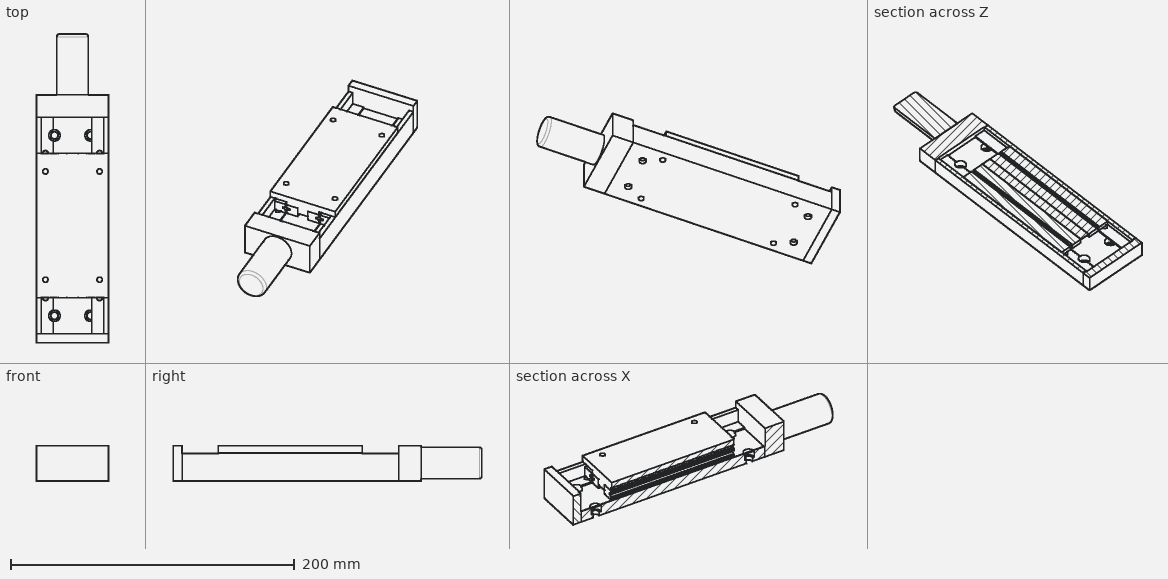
import cadquery as cq

WIDTH = 50.8
HEIGHT = 24.89
TOTAL_LENGTH = 217.47

BASE_LENGTH = 152.4
BASE_HEIGHT = 19.55
WALL = 3.4
LEDGE_Z = 9.4
LEDGE_RISE = 1.0
FLOOR_Z = LEDGE_Z - LEDGE_RISE

FRONT_PLATE_LENGTH = 6.35
MOTOR_PLATE_LENGTH = 15.875
MOTOR_DIAMETER = 22.225
MOTOR_AXIS_Z = 12.7
MOTOR_FILLET = 1.9
MOTOR_LENGTH = TOTAL_LENGTH - BASE_LENGTH - FRONT_PLATE_LENGTH - MOTOR_PLATE_LENGTH

RAIL_WIDTH = 8.6
RAIL_HEIGHT = 7.8
RAIL_GAP = 0.8
GROOVE_DEPTH = 1.6
RELIEF_DEPTH = 2.4
RELIEF_HEIGHT = 0.8
RAIL_CHAMFER = 0.5
RAIL_TOP = LEDGE_Z + RAIL_HEIGHT
OUTER_RAIL_WALL_SIDE = WIDTH / 2 - WALL
OUTER_RAIL_GROOVE_SIDE = OUTER_RAIL_WALL_SIDE - RAIL_WIDTH
INNER_RAIL_GROOVE_SIDE = OUTER_RAIL_GROOVE_SIDE - RAIL_GAP
INNER_RAIL_STEM_SIDE = INNER_RAIL_GROOVE_SIDE - RAIL_WIDTH

CARRIAGE_LENGTH = 101.6
PLATE_BOTTOM = 19.8
STEM_BOTTOM = 12.4

PLATE_HOLE_DIAMETER = 3.7
PLATE_HOLE_SPACING_X = 38.1
PLATE_HOLE_SPACING_Y = 76.2
LEDGE_HOLE_DIAMETER = 3.9
LEDGE_HOLE_SPACING_Y = CARRIAGE_LENGTH
MOUNT_SPACING_X = 25.4
MOUNT_SPACING_Y = 127.0
MOUNT_DIAMETER = 5.0
COUNTERBORE_DIAMETER = 8.0
COUNTERBORE_DEPTH = 5.0


def box(x_range, y_range, z_range):
    """Axis-aligned block spanning the given (low, high) ranges."""
    lows, highs = zip(x_range, y_range, z_range)
    sizes = [high - low for low, high in zip(lows, highs)]
    return cq.Workplane("XY").box(*sizes, centered=False).translate(lows)


def hole_pattern(spacing_x, spacing_y, diameter, z_low, z_high):
    """Four vertical cylinders centred on the Z axis."""
    pattern = cq.Workplane("XY").workplane(offset=z_low).rarray(spacing_x, spacing_y, 2, 2)
    return pattern.circle(diameter / 2).extrude(z_high - z_low)


def make_base():
    y_range = (-BASE_LENGTH / 2, BASE_LENGTH / 2)
    half_width = WIDTH / 2
    inner_half_width = half_width - WALL
    ledge_z = (FLOOR_Z, LEDGE_Z)

    floor = box((-half_width, half_width), y_range, (0, FLOOR_Z))
    left_ledge = box((-inner_half_width, -OUTER_RAIL_GROOVE_SIDE), y_range, ledge_z)
    right_ledge = box((OUTER_RAIL_GROOVE_SIDE, inner_half_width), y_range, ledge_z)

    counterbore_floor = FLOOR_Z - COUNTERBORE_DEPTH
    mounting_holes = hole_pattern(MOUNT_SPACING_X, MOUNT_SPACING_Y, MOUNT_DIAMETER, 0, LEDGE_Z)
    counterbores = hole_pattern(
        MOUNT_SPACING_X, MOUNT_SPACING_Y, COUNTERBORE_DIAMETER, counterbore_floor, LEDGE_Z
    )
    base = floor.union(left_ledge).cut(mounting_holes).cut(counterbores).union(right_ledge)

    for wall_x in ((-half_width, -inner_half_width), (inner_half_width, half_width)):
        base = base.union(box(wall_x, y_range, (0, BASE_HEIGHT)))

    ledge_holes = hole_pattern(
        PLATE_HOLE_SPACING_X, LEDGE_HOLE_SPACING_Y, LEDGE_HOLE_DIAMETER, 0, LEDGE_Z
    )
    return base.cut(ledge_holes)


def make_front_plate():
    back = -BASE_LENGTH / 2
    return box((-WIDTH / 2, WIDTH / 2), (back - FRONT_PLATE_LENGTH, back), (0, HEIGHT))


def make_motor_plate():
    front = BASE_LENGTH / 2
    return box((-WIDTH / 2, WIDTH / 2), (front, front + MOTOR_PLATE_LENGTH), (0, HEIGHT))


def make_motor():
    mounting_face = BASE_LENGTH / 2 + MOTOR_PLATE_LENGTH
    plane = cq.Plane(origin=(0, mounting_face, MOTOR_AXIS_Z), xDir=(1, 0, 0), normal=(0, 1, 0))
    motor = cq.Workplane(plane).circle(MOTOR_DIAMETER / 2).extrude(MOTOR_LENGTH)
    return motor.faces(">Y").edges().fillet(MOTOR_FILLET)


def make_carriage():
    y_range = (-CARRIAGE_LENGTH / 2, CARRIAGE_LENGTH / 2)
    steps = (
        (WIDTH / 2, PLATE_BOTTOM, HEIGHT),
        (INNER_RAIL_GROOVE_SIDE, RAIL_TOP, PLATE_BOTTOM),
        (INNER_RAIL_STEM_SIDE, STEM_BOTTOM, RAIL_TOP),
    )
    carriage = cq.Workplane("XY")
    for half_width, z_low, z_high in steps:
        carriage = carriage.union(box((-half_width, half_width), y_range, (z_low, z_high)))
    plate_holes = hole_pattern(
        PLATE_HOLE_SPACING_X, PLATE_HOLE_SPACING_Y, PLATE_HOLE_DIAMETER, PLATE_BOTTOM, HEIGHT
    )
    return carriage.cut(plate_holes)


def make_rail(back_x, groove_x):
    """Rail with its plain side at back_x and a relieved 90 degree V groove in the side at groove_x."""
    inward = 1 if back_x > groove_x else -1
    middle_z = LEDGE_Z + RAIL_HEIGHT / 2
    half_relief = RELIEF_HEIGHT / 2
    chamfer_x = groove_x + inward * RAIL_CHAMFER
    vee_end_x = groove_x + inward * (GROOVE_DEPTH - half_relief)
    relief_x = groove_x + inward * RELIEF_DEPTH
    profile = [
        (back_x, LEDGE_Z),
        (chamfer_x, LEDGE_Z),
        (groove_x, LEDGE_Z + RAIL_CHAMFER),
        (groove_x, middle_z - GROOVE_DEPTH),
        (vee_end_x, middle_z - half_relief),
        (relief_x, middle_z - half_relief),
        (relief_x, middle_z + half_relief),
        (vee_end_x, middle_z + half_relief),
        (groove_x, middle_z + GROOVE_DEPTH),
        (groove_x, RAIL_TOP - RAIL_CHAMFER),
        (chamfer_x, RAIL_TOP),
        (back_x, RAIL_TOP),
    ]
    return cq.Workplane("XZ").polyline(profile).close().extrude(CARRIAGE_LENGTH / 2, both=True)


base = make_base()
front_plate = make_front_plate()
motor_plate = make_motor_plate()
motor = make_motor()
carriage = make_carriage()

outer_rails = []
inner_rails = []
for side in (-1, 1):
    outer_rails.append(make_rail(side * OUTER_RAIL_WALL_SIDE, side * OUTER_RAIL_GROOVE_SIDE).val())
    inner_rails.append(make_rail(side * INNER_RAIL_STEM_SIDE, side * INNER_RAIL_GROOVE_SIDE).val())

result = cq.Compound.makeCompound([
    base.val(),
    front_plate.val(),
    motor_plate.val(),
    motor.val(),
    carriage.val(),
    *outer_rails,
    *inner_rails,
])